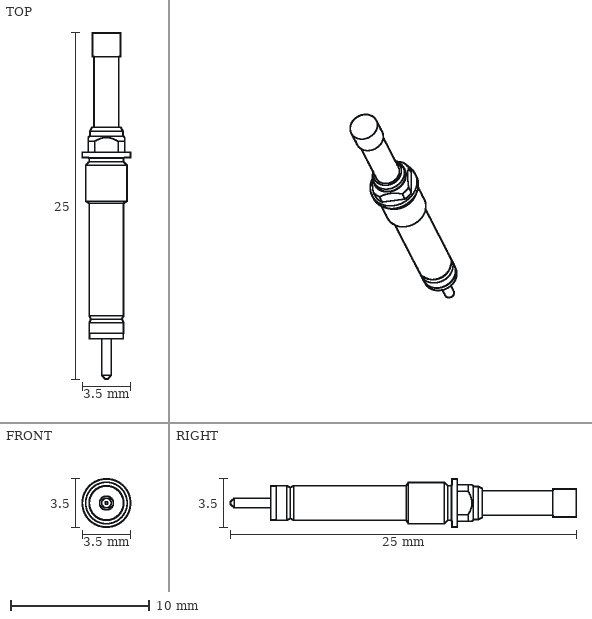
import cadquery as cq


rear_end_y = 9.0
cap_diameter = 2.05
cap_length = 1.7
barrel_diameter = 1.8
barrel_length = 5.1
sleeve_diameter = 2.4
sleeve_length = 0.65
sleeve_chamfer_radial = 0.15
sleeve_chamfer_axial = 0.3

wrench_across_flats = 2.65
wrench_corner_diameter = 3.15
wrench_rear_diameter = 2.46
wrench_lead_in_length = 0.375
flange_diameter = 3.5
flange_thickness = 0.4

neck_diameter = 2.5
neck_end_y = -0.3
neck_root_chamfer = 0.06
shoulder_diameter = 3.0
shoulder_end_y = -3.3
shoulder_rear_chamfer = (shoulder_diameter - neck_diameter) / 2
shoulder_front_chamfer_length = 0.15

body_diameter = 2.5
body_end_y = -13.1
groove_y = -11.67
groove_diameter = 2.25
groove_half_width = 0.25
ring_diameter = 2.46
ring_length = 0.4

pin_diameter = 0.7
pin_tip_y = -16.0
pin_tip_diameter = 0.2
pin_tip_length = 0.28
recess_diameter = 1.0
recess_depth = 0.1

barrel_rear_y = rear_end_y - cap_length
sleeve_rear_y = barrel_rear_y - barrel_length
wrench_rear_y = sleeve_rear_y - sleeve_length


def cylinder(diameter, rear_y, front_y):
    """Cylinder on the Y axis running from rear_y forward to front_y."""
    return (
        cq.Workplane("XZ", origin=(0, rear_y, 0))
        .circle(diameter / 2)
        .extrude(rear_y - front_y)
    )


def cone(rear_diameter, front_diameter, rear_y, front_y):
    """Solid cone frustum on the Y axis from rear_y forward to front_y."""
    return (
        cq.Workplane("YZ")
        .moveTo(rear_y, 0)
        .lineTo(rear_y, rear_diameter / 2)
        .lineTo(front_y, front_diameter / 2)
        .lineTo(front_y, 0)
        .close()
        .revolve(360, (0, 0, 0), (1, 0, 0))
    )


def rear_section():
    """End cap, barrel and chamfered sleeve."""
    cap = cylinder(cap_diameter, rear_end_y, barrel_rear_y)
    barrel = cylinder(barrel_diameter, barrel_rear_y, sleeve_rear_y)
    chamfer_end_y = sleeve_rear_y - sleeve_chamfer_axial
    sleeve_rear_diameter = sleeve_diameter - 2 * sleeve_chamfer_radial
    chamfer = cone(sleeve_rear_diameter, sleeve_diameter, sleeve_rear_y, chamfer_end_y)
    sleeve = cylinder(sleeve_diameter, chamfer_end_y, wrench_rear_y)
    return cap.union(barrel).union(chamfer).union(sleeve)


def wrench_collar():
    """Round collar with a conical lead-in at the rear, cut to four flats."""
    lead_in_end_y = wrench_rear_y - wrench_lead_in_length
    lead_in = cone(wrench_rear_diameter, wrench_corner_diameter, wrench_rear_y, lead_in_end_y)
    blank = lead_in.union(cylinder(wrench_corner_diameter, lead_in_end_y, flange_thickness))
    square = (
        cq.Workplane("XZ", origin=(0, wrench_rear_y, 0))
        .rect(wrench_across_flats, wrench_across_flats)
        .extrude(wrench_rear_y - flange_thickness)
    )
    return blank.intersect(square)


def flange_and_shoulder():
    """Flange, relieved neck and the shoulder chamfered at both ends."""
    flange = cylinder(flange_diameter, flange_thickness, 0)
    neck_root = cone(neck_diameter + 2 * neck_root_chamfer, neck_diameter, 0, -neck_root_chamfer)
    neck = cylinder(neck_diameter, 0, neck_end_y)
    shoulder_rear_y = neck_end_y - shoulder_rear_chamfer
    shoulder_front_y = shoulder_end_y + shoulder_front_chamfer_length
    rear_chamfer = cone(neck_diameter, shoulder_diameter, neck_end_y, shoulder_rear_y)
    shoulder = cylinder(shoulder_diameter, shoulder_rear_y, shoulder_front_y)
    front_chamfer = cone(shoulder_diameter, body_diameter, shoulder_front_y, shoulder_end_y)
    section = flange.union(neck_root).union(neck)
    return section.union(rear_chamfer).union(shoulder).union(front_chamfer)


def front_body():
    """Long body with the V groove, the end ring and the pin recess."""
    groove_rear_y = groove_y + groove_half_width
    groove_front_y = groove_y - groove_half_width
    ring_rear_y = body_end_y + ring_length
    body = cylinder(body_diameter, shoulder_end_y, groove_rear_y)
    groove_rear = cone(body_diameter, groove_diameter, groove_rear_y, groove_y)
    groove_front = cone(groove_diameter, body_diameter, groove_y, groove_front_y)
    land = cylinder(body_diameter, groove_front_y, ring_rear_y)
    ring = cylinder(ring_diameter, ring_rear_y, body_end_y)
    recess = cylinder(recess_diameter, body_end_y + recess_depth, body_end_y)
    return body.union(groove_rear).union(groove_front).union(land).union(ring).cut(recess)


def contact_pin():
    """Slender pin from the recess floor to its blunted conical tip."""
    tip_rear_y = pin_tip_y + pin_tip_length
    shank = cylinder(pin_diameter, body_end_y + recess_depth, tip_rear_y)
    tip = cone(pin_diameter, pin_tip_diameter, tip_rear_y, pin_tip_y)
    return shank.union(tip)


result = (
    rear_section()
    .union(wrench_collar())
    .union(flange_and_shoulder())
    .union(front_body())
    .union(contact_pin())
)